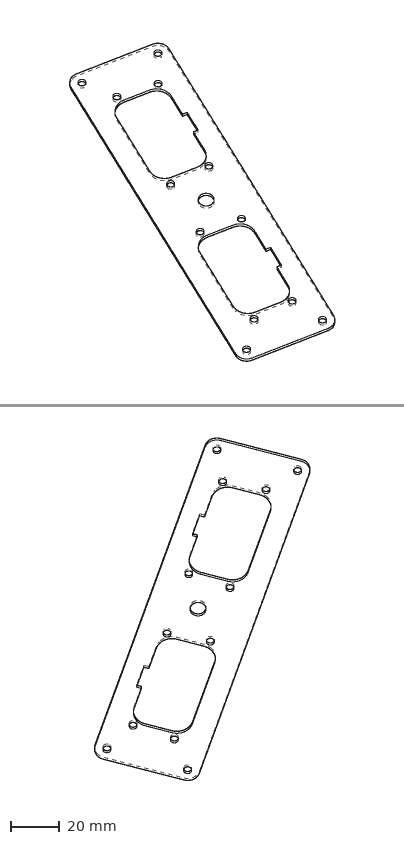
import cadquery as cq

plate_length = 164.0
plate_width = 45.0
plate_thickness = 1.57
plate_corner_radius = 5.1

screw_hole_diameter = 3.3
mounting_hole_inset = plate_corner_radius

opening_pitch = 77.9
opening_length = 44.5
opening_width = 25.1
opening_corner_radius = 6.7

notch_length = 10.2
notch_depth = 2.1

upper_hole_spacing = 47.4
upper_hole_y = 10.5
lower_hole_spacing = 50.3
lower_hole_y = -7.7

center_hole_diameter = 6.5
center_hole_y = 1.8


def rounded_block(length, width, corner_radius):
    """Block of plate thickness with rounded vertical edges."""
    block = cq.Workplane("XY").rect(length, width).extrude(plate_thickness)
    return block.edges("|Z").fillet(corner_radius)


def through_holes(points, diameter):
    """Cylinders of plate thickness at the given points."""
    return cq.Workplane("XY").pushPoints(points).circle(diameter / 2).extrude(plate_thickness)


def connector_cutout(center_x):
    """Notched opening together with its four screw holes."""
    opening = rounded_block(opening_length, opening_width, opening_corner_radius)

    notch_top = opening_width / 2 + notch_depth
    notch = (
        cq.Workplane("XY")
        .center(0, notch_top / 2)
        .rect(notch_length, notch_top)
        .extrude(plate_thickness)
    )

    screw_points = [
        (side * spacing / 2, y)
        for spacing, y in ((upper_hole_spacing, upper_hole_y), (lower_hole_spacing, lower_hole_y))
        for side in (-1, 1)
    ]
    screw_holes = through_holes(screw_points, screw_hole_diameter)
    return opening.union(notch).union(screw_holes).translate((center_x, 0, 0))


plate = rounded_block(plate_length, plate_width, plate_corner_radius)

mounting_x = plate_length / 2 - mounting_hole_inset
mounting_y = plate_width / 2 - mounting_hole_inset
mounting_points = [(sx * mounting_x, sy * mounting_y) for sx in (-1, 1) for sy in (-1, 1)]
plate = plate.cut(through_holes(mounting_points, screw_hole_diameter))

for side in (-1, 1):
    plate = plate.cut(connector_cutout(side * opening_pitch / 2))

result = plate.cut(through_holes([(0, center_hole_y)], center_hole_diameter))